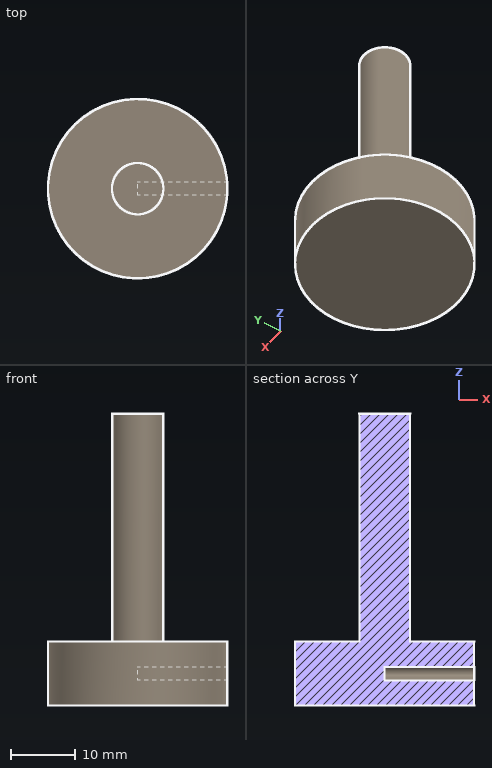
import cadquery as cq

total_height = 45.5
head_diameter = 28.0
head_height = 10.0
stem_diameter = 8.0
side_hole_diameter = 2.0

head = cq.Workplane("XY").circle(head_diameter / 2).extrude(head_height)
stem = cq.Workplane("XY").circle(stem_diameter / 2).extrude(total_height)

side_hole = (
    cq.Workplane("YZ")
    .center(0, head_height / 2)
    .circle(side_hole_diameter / 2)
    .extrude(head_diameter / 2)
)

result = head.union(stem).cut(side_hole)